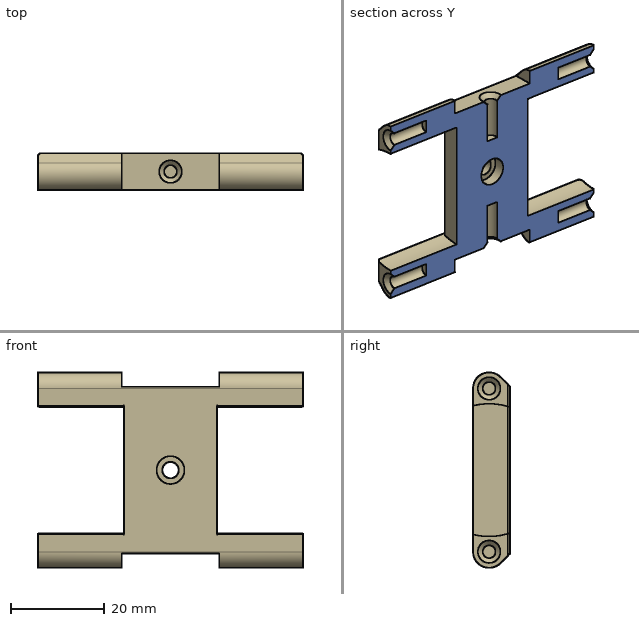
import cadquery as cq
import math

length = 57.0
thickness = 8.0
height = 42.0

nose_radius = 3.5
rail_depth = 7.2
hollow_radius = 14.25
notch_depth = 3.1
notch_width = 20.85

web_width = 20.05
back_chamfer = 0.5

bolt_diameter = 3.5
bolt_head_diameter = 6.0
bolt_head_depth = 6.0
screw_diameter = 2.75
countersink_diameter = 4.85
screw_depth = 10.0

front_y = -thickness / 2
back_y = thickness / 2
nose_y = front_y + nose_radius
nose_z = height / 2 - nose_radius
rail_inner_z = height / 2 - rail_depth
hollow_center_z = rail_inner_z - math.sqrt(hollow_radius**2 - nose_radius**2)
hollow_crest_z = hollow_center_z + hollow_radius
back_drop = back_y - nose_y
hollow_back_z = hollow_center_z + math.sqrt(hollow_radius**2 - back_drop**2)


def make_rail():
    """Top rail: rounded nose, 45 degree back slope and concave inner side."""
    diagonal = nose_radius / math.sqrt(2)
    slope_back_z = nose_z + nose_radius * math.sqrt(2) - back_drop
    front_bend = (nose_y - diagonal, nose_z + diagonal)
    crest = (nose_y, nose_z + nose_radius)
    slope_start = (nose_y + diagonal, nose_z + diagonal)
    crest_bend_angle = math.radians(67.5)
    crest_bend = (
        nose_y + nose_radius * math.cos(crest_bend_angle),
        nose_z + nose_radius * math.sin(crest_bend_angle),
    )
    return (
        cq.Workplane("YZ")
        .moveTo(front_y, rail_inner_z)
        .lineTo(front_y, nose_z)
        .threePointArc(front_bend, crest)
        .threePointArc(crest_bend, slope_start)
        .lineTo(back_y, slope_back_z)
        .lineTo(back_y, hollow_back_z)
        .threePointArc((nose_y, hollow_crest_z), (front_y, rail_inner_z))
        .close()
        .extrude(length / 2, both=True)
    )


def chamfer_back_ends(body):
    """Bevel the upright back edges at both ends of a body."""
    return body.edges("|Z and >Y").chamfer(back_chamfer)


def screw_hole(plane):
    """Blind countersunk hole cutter, starting at the plane and going inward."""
    sink_depth = (countersink_diameter - screw_diameter) / 2
    bore = cq.Workplane(plane).circle(screw_diameter / 2).extrude(-screw_depth)
    sink = (
        cq.Workplane(plane)
        .circle(countersink_diameter / 2)
        .workplane(offset=-sink_depth)
        .circle(screw_diameter / 2)
        .loft()
    )
    return bore.union(sink)


rail = chamfer_back_ends(make_rail())
web_height = 2 * nose_z
web = chamfer_back_ends(cq.Workplane("XY").box(web_width, thickness, web_height))
result = web.union(rail).union(rail.mirror("XY"))

notch_floor_z = height / 2 - notch_depth
for side in (1, -1):
    notch = cq.Workplane("XY").box(notch_width, thickness, 2 * notch_depth)
    result = result.cut(notch.translate((0, 0, side * height / 2)))
    floor = cq.Plane((0, 0, side * notch_floor_z), (1, 0, 0), (0, 0, side))
    result = result.cut(screw_hole(floor))

for end in (1, -1):
    for side in (1, -1):
        face = cq.Plane((end * length / 2, nose_y, side * nose_z), (0, 1, 0), (end, 0, 0))
        result = result.cut(screw_hole(face))

result = (
    result.cut(cq.Workplane("XZ").circle(bolt_diameter / 2).extrude(thickness, both=True))
    .cut(
        cq.Workplane("XZ", origin=(0, front_y, 0))
        .circle(bolt_head_diameter / 2)
        .extrude(-bolt_head_depth)
    )
)